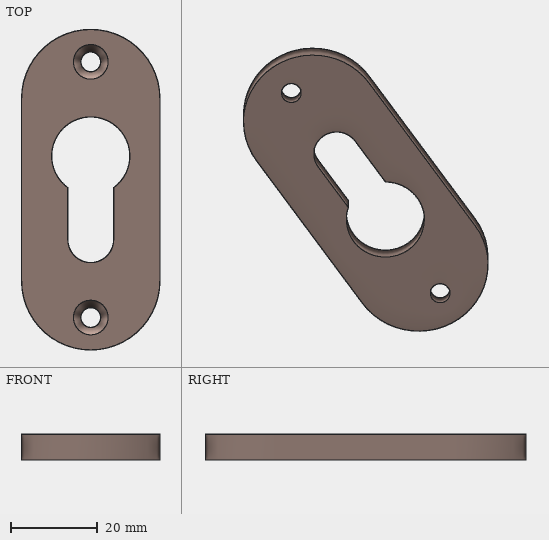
import cadquery as cq

plate_length = 74.0
plate_width = 32.0
plate_thickness = 6.0

bore_diameter = 18.0
bore_y = 7.8
slot_width = 10.5
slot_bottom_y = -16.8

screw_spacing = 59.0
screw_diameter = 4.5
countersink_diameter = 8.0
countersink_angle = 90


def make_plate():
    """Round-ended plate centred on the Z axis, resting on Z = 0."""
    return cq.Workplane("XY").slot2D(plate_length, plate_width, 90).extrude(plate_thickness)


def make_keyhole():
    """Cutting body for the through keyhole."""
    bore = cq.Workplane("XY").center(0, bore_y).circle(bore_diameter / 2).extrude(plate_thickness)
    slot_end_y = slot_bottom_y + slot_width / 2
    slot_end = cq.Workplane("XY").center(0, slot_end_y).circle(slot_width / 2).extrude(plate_thickness)
    slot_sides = (
        cq.Workplane("XY")
        .center(0, (bore_y + slot_end_y) / 2)
        .rect(slot_width, bore_y - slot_end_y)
        .extrude(plate_thickness)
    )
    return bore.union(slot_sides).union(slot_end)


def cut_screw_holes(plate):
    """Through holes countersunk from the top face."""
    return (
        plate.faces(">Z")
        .workplane(origin=(0, 0, plate_thickness))
        .pushPoints([(0, screw_spacing / 2), (0, -screw_spacing / 2)])
        .cskHole(screw_diameter, countersink_diameter, countersink_angle)
    )


result = cut_screw_holes(make_plate()).cut(make_keyhole())